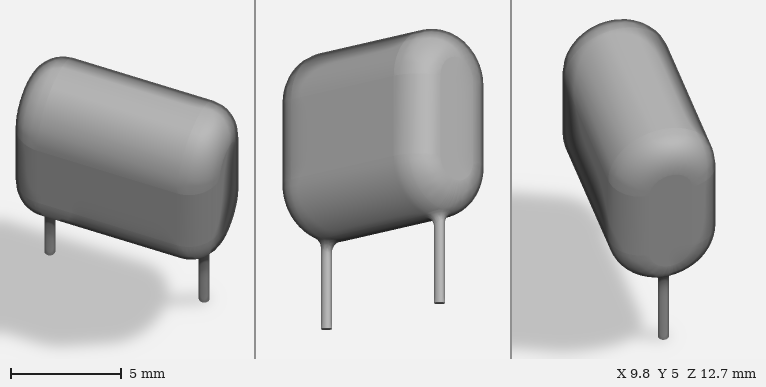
import cadquery as cq

body_length = 9.8
body_thickness = 5.0
body_height = 8.7
end_radius = 1.5

lead_pitch = 7.5
lead_diameter = 0.5
lead_length = 4.0
meniscus_radius = 0.5


def make_body():
    """Upright stadium extruded along X, with both end outlines rounded."""
    return (
        cq.Workplane("YZ")
        .center(0, body_height / 2)
        .slot2D(body_height, body_thickness, 90)
        .extrude(body_length / 2, both=True)
        .faces("<X or >X")
        .edges()
        .fillet(end_radius)
    )


def make_lead(x):
    """Round wire from its free tip up to the middle of the body."""
    return (
        cq.Workplane("XY", origin=(x, 0, -lead_length))
        .circle(lead_diameter / 2)
        .extrude(lead_length + body_height / 2)
    )


def add_lead(body, x):
    """Join a lead to the body and blend the joint."""
    joint_size = 2 * lead_diameter
    joint_box = cq.selectors.BoxSelector(
        (x - joint_size, -joint_size, -joint_size),
        (x + joint_size, joint_size, joint_size),
        boundingbox=True,
    )
    return body.union(make_lead(x)).edges(joint_box).fillet(meniscus_radius)


result = make_body()
for side in (-1, 1):
    result = add_lead(result, side * lead_pitch / 2)